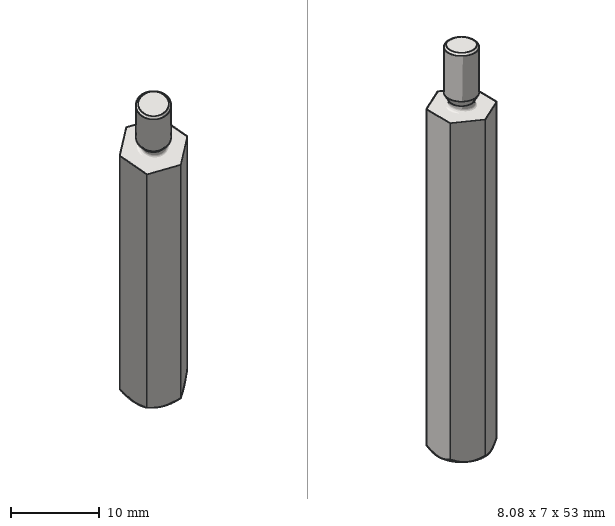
import cadquery as cq
import math

total_length = 53.0
stud_length = 8.0
body_length = total_length - stud_length
across_flats = 7.0
across_corners = across_flats / math.cos(math.pi / 6)

bevel_height = 0.65
bevel_end_diameter = 6.9

stud_radius = 4.0 / 2
tip_chamfer = 0.25
groove_radius = 2.9 / 2
root_fillet_radius = 0.4
groove_straight_height = 0.35
groove_cone_angle = math.radians(30)


def make_body():
    """Hexagonal prism with corners on the X axis and a beveled bottom."""
    prism = cq.Workplane("XY").polygon(6, across_corners).extrude(body_length)
    corner_radius = across_corners / 2
    envelope = (
        cq.Workplane("XZ")
        .moveTo(0, 0)
        .lineTo(bevel_end_diameter / 2, 0)
        .lineTo(corner_radius, bevel_height)
        .lineTo(corner_radius, body_length)
        .lineTo(0, body_length)
        .close()
        .revolve(360, (0, 0), (0, 1))
    )
    return prism.intersect(envelope)


def make_stud():
    """Revolved stud: root fillet, groove, cone, shank and tip chamfer."""
    fillet_top = body_length + root_fillet_radius
    root_radius = groove_radius + root_fillet_radius
    arc_offset = root_fillet_radius * math.sqrt(0.5)
    arc_middle = (root_radius - arc_offset, fillet_top - arc_offset)
    cone_bottom = fillet_top + groove_straight_height
    cone_top = cone_bottom + (stud_radius - groove_radius) / math.tan(groove_cone_angle)
    return (
        cq.Workplane("XZ")
        .moveTo(0, body_length)
        .lineTo(root_radius, body_length)
        .threePointArc(arc_middle, (groove_radius, fillet_top))
        .lineTo(groove_radius, cone_bottom)
        .lineTo(stud_radius, cone_top)
        .lineTo(stud_radius, total_length - tip_chamfer)
        .lineTo(stud_radius - tip_chamfer, total_length)
        .lineTo(0, total_length)
        .close()
        .revolve(360, (0, 0), (0, 1))
    )


result = make_body().union(make_stud())